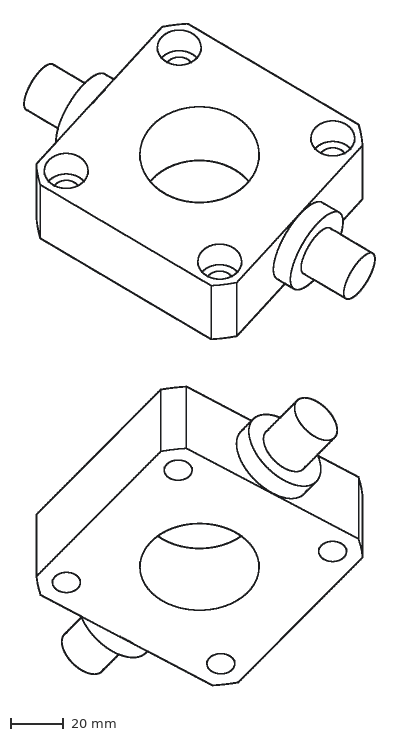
import cadquery as cq

overall_length = 150.0
block_side = 94.0
block_height = 34.0
corner_circle_diameter = 123.6
bore_diameter = 45.0
collar_diameter = 33.6
collar_span = 110.0
journal_diameter = 20.0
bolt_spacing = 72.0
bolt_hole_diameter = 10.5
counterbore_diameter = 16.5
counterbore_depth = 13.0


def make_block():
    """Square block whose corners are trimmed by a circle about the bore axis."""
    square = cq.Workplane("XY").box(block_side, block_side, block_height)
    corner_envelope = cq.Workplane("XY").circle(corner_circle_diameter / 2)
    corner_envelope = corner_envelope.extrude(block_height / 2, both=True)
    return square.intersect(corner_envelope)


def make_cross_shaft(diameter, length):
    """Cylinder along X, centred on the block."""
    return cq.Workplane("YZ").circle(diameter / 2).extrude(length / 2, both=True)


trunnion = (
    make_block()
    .union(make_cross_shaft(collar_diameter, collar_span))
    .union(make_cross_shaft(journal_diameter, overall_length))
)

top_plane = cq.Workplane("XY", origin=(0, 0, block_height / 2))
result = (
    trunnion.copyWorkplane(top_plane)
    .hole(bore_diameter)
    .copyWorkplane(top_plane)
    .rect(bolt_spacing, bolt_spacing, forConstruction=True)
    .vertices()
    .cboreHole(bolt_hole_diameter, counterbore_diameter, counterbore_depth)
)